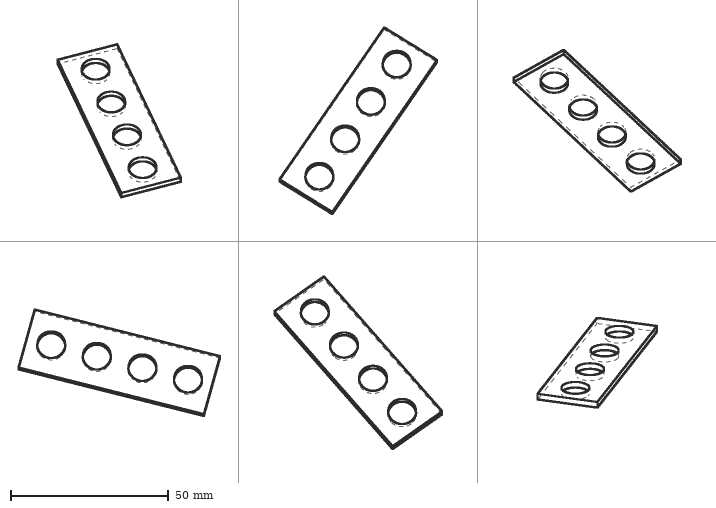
import cadquery as cq

length = 60.95
width = 20.05
thickness = 2.0

hole_diameter = 8.9
hole_count = 4
hole_pitch = 15.0
first_hole_from_end = 7.85

plate = cq.Workplane("XY").box(length, width, thickness)

first_hole_x = first_hole_from_end - length / 2
hole_centers = [(first_hole_x + i * hole_pitch, 0) for i in range(hole_count)]

result = plate.faces(">Z").workplane().pushPoints(hole_centers).hole(hole_diameter)